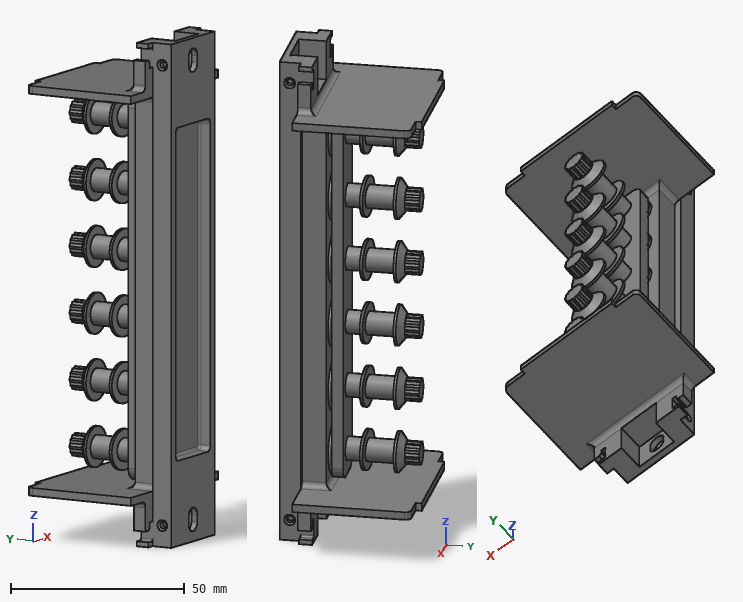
import cadquery as cq
import math


LENGTH = 147.2
STRIP_WIDTH = 25.0
STRIP_DEPTH = 6.2
SPINE_WIDTH = 20.6
SPINE_BACK = 13.2

POCKET_WIDTH = 20.0
POCKET_LENGTH = 97.5
POCKET_DEPTH = 3.7
POCKET_CORNER_RADIUS = 1.8
POCKET_DRAFT = 8.0
POCKET_FLOOR_RADIUS = 0.9

PLATE_WIDTH = 50.0
PLATE_BACK = 42.5
PLATE_THICKNESS = 2.4
PLATE_FROM_END = 13.7
PLATE_TONGUE_WIDTH = 34.2
PLATE_TONGUE_STEP = 1.8
PLATE_CORNER_RADIUS = 1.8
PLATE_ROOT_RADIUS = 1.8

BLOCK_BACK = 10.0
LUG_WIDTH = 33.3
LUG_FROM_END = 4.9
LUG_LEDGE_FROM_END = 7.2
LUG_NECK_WIDTH = 28.0
LUG_NECK_CHAMFER = 0.9
LIP_WIDTH = 30.0
LIP_THICKNESS = 1.5
LIP_ROOT_RADIUS = 0.6
SLOT_WIDTH = 13.0
SLOT_FRONT = 1.9
SLOT_DEPTH = 11.8

MOUNT_HOLE_FROM_END = 6.5
MOUNT_HOLE_WIDTH = 5.0
MOUNT_HOLE_LENGTH = 6.9
SIDE_HOLE_FROM_END = 6.3
SIDE_HOLE_Y = 3.0
SIDE_HOLE_DIAMETER = 2.0
SIDE_HOLE_MOUTH_DIAMETER = 3.2
SIDE_HOLE_DEPTH = 2.2

CARRIER_WIDTH = 13.8
CARRIER_LENGTH = 112.8
CARRIER_FRONT = 14.1
CARRIER_BACK = 17.5
CARRIER_CORNER_RADIUS = 3.7

PIN_COUNT = 6
PIN_PITCH = 19.5
PIN_DIAMETER = 6.9
PIN_FOOT_DIAMETER = 15.0
PIN_COLLAR_DIAMETER = 12.0
RING_Y = 23.3
RING_THICKNESS = 0.9
RING_TILT = 6.0
FLANGE_FRONT = 32.1
FLANGE_RIM_BACK = 32.8
FLANGE_CONE_BACK = 34.9
PIN_BACK = 39.2
HEAD_POINTS = 12

HALF_LENGTH = LENGTH / 2
PLATE_OUTER_Z = HALF_LENGTH - PLATE_FROM_END
PLATE_INNER_Z = PLATE_OUTER_Z - PLATE_THICKNESS
PIN_HEIGHTS = [PIN_PITCH * (i - (PIN_COUNT - 1) / 2) for i in range(PIN_COUNT)]


def box(width, y_front, y_back, z_bottom, z_top):
    """Block centred on X between the given Y and Z limits."""
    corner_plane = cq.Workplane("XY", origin=(0, y_front, z_bottom))
    return corner_plane.box(width, y_back - y_front, z_top - z_bottom, centered=(True, False, False))


def front_plane(y):
    """Sketch plane facing the front (-Y) at the given depth."""
    return cq.Workplane("XZ", origin=(0, y, 0))


def pin_discs(diameter, y_front, y_back):
    """One disc on the axis of each pin between the given depths."""
    centres = [(0, z) for z in PIN_HEIGHTS]
    return front_plane(y_front).pushPoints(centres).circle(diameter / 2).extrude(y_front - y_back)


def end_plate():
    """Upper end plate with a tongue along its back edge."""
    shoulder_y = PLATE_BACK - PLATE_TONGUE_STEP
    plate = box(PLATE_WIDTH, STRIP_DEPTH, shoulder_y, PLATE_INNER_Z, PLATE_OUTER_Z)
    plate = plate.edges("|Z and >Y").fillet(PLATE_CORNER_RADIUS)
    tongue = box(PLATE_TONGUE_WIDTH, STRIP_DEPTH, PLATE_BACK, PLATE_INNER_Z, PLATE_OUTER_Z)
    return plate.union(tongue)


def root_fillet(width, y_back, z, direction):
    """Concave fillet along the sides and back where a block of this width meets a plate face."""
    radius = PLATE_ROOT_RADIUS
    z_far = z + direction * radius
    skirt_width = width + 2 * radius
    skirt = box(skirt_width, STRIP_DEPTH, y_back + radius, min(z, z_far), max(z, z_far))
    for side in (-1, 1):
        groove = cq.Workplane("XZ").center(side * (width / 2 + radius), z_far).circle(radius)
        skirt = skirt.cut(groove.extrude(-PLATE_BACK))
    back_groove = cq.Workplane("YZ").center(y_back + radius, z_far).circle(radius)
    return skirt.cut(back_groove.extrude(PLATE_WIDTH / 2, both=True))


def end_block():
    """Upper end block: a lug on each side below a thin lip."""
    strip_x = STRIP_WIDTH / 2
    neck_x = LUG_NECK_WIDTH / 2
    lug_x = LUG_WIDTH / 2
    lip_x = LIP_WIDTH / 2
    lug_z = HALF_LENGTH - LUG_FROM_END
    ledge_z = HALF_LENGTH - LUG_LEDGE_FROM_END
    lip_z = HALF_LENGTH - LIP_THICKNESS
    half = (
        cq.Workplane("XZ")
        .moveTo(0, PLATE_OUTER_Z)
        .lineTo(lug_x, PLATE_OUTER_Z)
        .lineTo(lug_x, lug_z)
        .lineTo(neck_x + LUG_NECK_CHAMFER, lug_z)
        .lineTo(neck_x, lug_z - LUG_NECK_CHAMFER)
        .lineTo(neck_x, ledge_z)
        .lineTo(strip_x, ledge_z)
        .lineTo(strip_x, lip_z - LIP_ROOT_RADIUS)
        .radiusArc((strip_x + LIP_ROOT_RADIUS, lip_z), LIP_ROOT_RADIUS)
        .lineTo(lip_x, lip_z)
        .lineTo(lip_x, HALF_LENGTH)
        .lineTo(0, HALF_LENGTH)
        .close()
        .extrude(-(BLOCK_BACK - STRIP_DEPTH))
        .translate((0, STRIP_DEPTH, 0))
    )
    return half.union(half.mirror("YZ"))


def end_slot():
    """Slot open to the end and the back of the upper end block."""
    return box(SLOT_WIDTH, SLOT_FRONT, BLOCK_BACK, HALF_LENGTH - SLOT_DEPTH, HALF_LENGTH)


def mount_hole():
    """Upright oblong hole through the front wall into the end slot."""
    return (
        cq.Workplane("XZ")
        .center(0, HALF_LENGTH - MOUNT_HOLE_FROM_END)
        .slot2D(MOUNT_HOLE_LENGTH, MOUNT_HOLE_WIDTH, 90)
        .extrude(-BLOCK_BACK)
    )


def side_holes():
    """Blind hole in each side, countersunk at its mouth."""
    hole_z = HALF_LENGTH - SIDE_HOLE_FROM_END
    bore_radius = SIDE_HOLE_DIAMETER / 2
    mouth_radius = SIDE_HOLE_MOUTH_DIAMETER / 2
    mouth_x = STRIP_WIDTH / 2
    floor_x = mouth_x - SIDE_HOLE_DEPTH
    hole = (
        cq.Workplane("XZ")
        .moveTo(floor_x, 0)
        .lineTo(floor_x, bore_radius)
        .lineTo(mouth_x - (mouth_radius - bore_radius), bore_radius)
        .lineTo(mouth_x, mouth_radius)
        .lineTo(mouth_x, 0)
        .close()
        .revolve(360, (0, 0, 0), (1, 0, 0))
    )
    return hole.union(hole.mirror("YZ")).translate((0, SIDE_HOLE_Y, hole_z))


def front_pocket():
    """Shallow pocket in the front face with drafted walls."""
    return (
        cq.Workplane("XZ")
        .sketch()
        .rect(POCKET_WIDTH, POCKET_LENGTH)
        .vertices()
        .fillet(POCKET_CORNER_RADIUS)
        .finalize()
        .extrude(-POCKET_DEPTH, taper=POCKET_DRAFT)
        .faces(">Y")
        .edges()
        .fillet(POCKET_FLOOR_RADIUS)
    )


def with_mirror(upper):
    """The upper feature together with its mirror image at the lower end."""
    return upper.union(upper.mirror("XY"))


def make_housing():
    strip = box(STRIP_WIDTH, 0, STRIP_DEPTH, -HALF_LENGTH, HALF_LENGTH)
    spine = box(SPINE_WIDTH, STRIP_DEPTH, SPINE_BACK, -PLATE_INNER_Z, PLATE_INNER_Z)
    end = end_plate().union(end_block())
    end = end.union(root_fillet(LUG_WIDTH, BLOCK_BACK, PLATE_OUTER_Z, 1))
    end = end.union(root_fillet(SPINE_WIDTH, SPINE_BACK, PLATE_INNER_Z, -1))
    housing = strip.union(spine).union(with_mirror(end))
    for cutter in (end_slot(), mount_hole(), side_holes()):
        housing = housing.cut(with_mirror(cutter))
    foot_seats = pin_discs(PIN_FOOT_DIAMETER, SPINE_BACK, CARRIER_FRONT)
    return housing.cut(front_pocket()).cut(foot_seats)


def make_carrier():
    """Strip with rounded corners and one hole for each pin."""
    half_length = CARRIER_LENGTH / 2
    carrier = box(CARRIER_WIDTH, CARRIER_FRONT, CARRIER_BACK, -half_length, half_length)
    carrier = carrier.edges("|Y").fillet(CARRIER_CORNER_RADIUS)
    return carrier.cut(pin_discs(PIN_DIAMETER, CARRIER_FRONT, CARRIER_BACK))


def pin_head():
    """Drive head whose outline is two crossed hexagons, giving twelve points."""
    tip_radius = PIN_DIAMETER / 2
    half_pitch = math.pi / HEAD_POINTS
    valley_radius = tip_radius * math.cos(2 * half_pitch) / math.cos(half_pitch)
    points = []
    for i in range(2 * HEAD_POINTS):
        radius = tip_radius if i % 2 == 0 else valley_radius
        points.append((radius * math.cos(i * half_pitch), radius * math.sin(i * half_pitch)))
    return front_plane(FLANGE_FRONT).polyline(points).close().extrude(FLANGE_FRONT - PIN_BACK)


def tilted_ring():
    """Thin round ring leaning back on its -X side."""
    ring = cq.Workplane("XZ").circle(PIN_COLLAR_DIAMETER / 2).extrude(RING_THICKNESS / 2, both=True)
    return ring.rotate((0, 0, 0), (0, 0, 1), -RING_TILT).translate((0, RING_Y, 0))


def make_pin(z):
    """Pin along Y: a foot disc, a shaft with a tilted ring, and a coned flange under the head."""
    foot_radius = PIN_FOOT_DIAMETER / 2
    shaft_radius = PIN_DIAMETER / 2
    flange_radius = PIN_COLLAR_DIAMETER / 2
    body = (
        cq.Workplane("XY")
        .moveTo(0, SPINE_BACK)
        .lineTo(-foot_radius, SPINE_BACK)
        .lineTo(-foot_radius, CARRIER_FRONT)
        .lineTo(-shaft_radius, CARRIER_FRONT)
        .lineTo(-shaft_radius, FLANGE_FRONT)
        .lineTo(-flange_radius, FLANGE_FRONT)
        .lineTo(-flange_radius, FLANGE_RIM_BACK)
        .lineTo(-shaft_radius, FLANGE_CONE_BACK)
        .lineTo(0, FLANGE_CONE_BACK)
        .close()
        .revolve(360, (0, 0, 0), (0, 1, 0))
    )
    return body.union(tilted_ring()).union(pin_head()).translate((0, 0, z))


housing = make_housing()
carrier = make_carrier()
pins = [make_pin(z) for z in PIN_HEIGHTS]

result = cq.Compound.makeCompound([housing.val(), carrier.val(), *[pin.val() for pin in pins]])